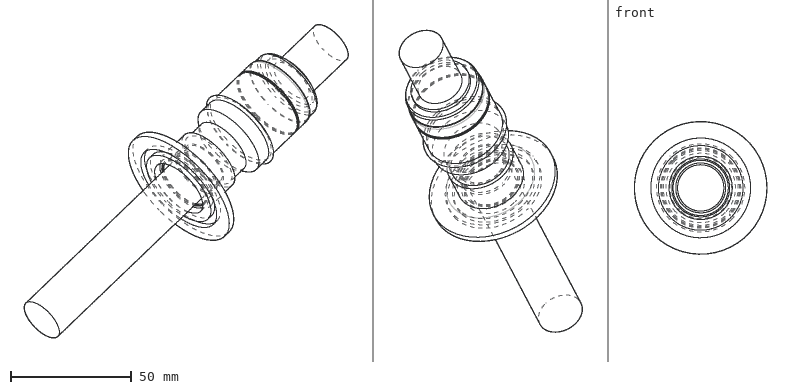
import cadquery as cq

rod_length = 184.2
rod_radius = 9.5

collar_radius = 12.7
collar_start = 25.0
cap_radius = 16.0
cap_start = 26.7
cap_bevel_length = 1.1
cap_bevel_height = 0.5
body_radius = 16.5
body_start = 32.5
body_bevel_length = 1.1
body_bevel_height = 0.2
cone_start = 65.2
cone_end = 68.9
neck_radius = 12.7
sleeve_radius = 14.4
sleeve_start = 77.9

body_groove_start = 39.6
body_groove_width = 0.7
body_groove_depth = 0.4

ridge_start = 57.3
ridge_peak = 57.8
ridge_end = 59.0
ridge_radius = 18.2

flange_radius = 27.5
flange_back_start = 91.7
flange_back_radius = 19.2
flange_rim_start = 94.0
flange_face = 96.9

face_groove_inner_radius = 17.5
face_groove_outer_radius = 20.6
face_groove_depth = 2.4

bore_steps = [
    (13.0, 3.3),
    (12.0, 3.9),
    (11.5, 11.0),
    (10.3, 16.5),
]


def revolve_profile(points):
    """Turn (radius, distance from rear end) points into a solid around the Y axis."""
    outline = [(radius, rod_length / 2 - distance) for radius, distance in points]
    return cq.Workplane("XY").polyline(outline).close().revolve(360, (0, 0, 0), (0, 1, 0))


def ring(inner_radius, outer_radius, start, end):
    """Plain ring between two radii and two distances from the rear end."""
    return revolve_profile(
        [(inner_radius, start), (outer_radius, start), (outer_radius, end), (inner_radius, end)]
    )


body = revolve_profile([
    (0, collar_start),
    (collar_radius, collar_start),
    (collar_radius, cap_start),
    (cap_radius - cap_bevel_height, cap_start),
    (cap_radius, cap_start + cap_bevel_length),
    (cap_radius, body_start),
    (body_radius - body_bevel_height, body_start),
    (body_radius, body_start + body_bevel_length),
    (body_radius, ridge_start),
    (ridge_radius, ridge_peak),
    (body_radius, ridge_end),
    (body_radius, cone_start),
    (neck_radius, cone_end),
    (neck_radius, sleeve_start),
    (sleeve_radius, sleeve_start),
    (sleeve_radius, flange_back_start),
    (flange_back_radius, flange_back_start),
    (flange_radius, flange_rim_start),
    (flange_radius, flange_face),
    (0, flange_face),
])

body_groove = ring(
    body_radius - body_groove_depth,
    body_radius,
    body_groove_start,
    body_groove_start + body_groove_width,
)
face_groove = ring(
    face_groove_inner_radius,
    face_groove_outer_radius,
    flange_face - face_groove_depth,
    flange_face,
)
rod = ring(0, rod_radius, 0, rod_length)

gland = body.cut(body_groove).cut(face_groove)
for step_radius, step_depth in bore_steps:
    gland = gland.cut(ring(0, step_radius, flange_face - step_depth, flange_face))

result = gland.union(rod)